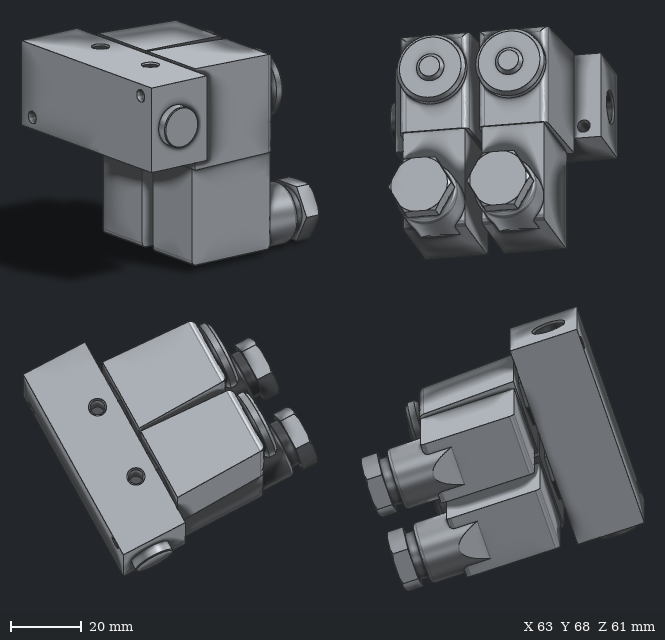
import cadquery as cq
import math


manifold_length = 60.0
manifold_depth = 20.0
manifold_height = 25.0
axis_z = -manifold_height / 2

mount_hole_dia = 3.6
mount_hole_inset_x = 5.0
mount_hole_inset_z = 3.5

port_y = 8.5
side_port_dia = 8.6
side_port_depth = 10.0
side_port_chamfer = 0.6
top_port_dia = 4.15
top_port_depth = 8.0
top_port_y = 14.0
top_port_chamfer = 0.5

plug_dia = 12.0
plug_length = 3.0
plug_chamfer = 0.3

coil_pitch = 23.0
coil_xs = [manifold_length / 2 - coil_pitch / 2, manifold_length / 2 + coil_pitch / 2]

hex_half_angle = 30
stem_flats = 13.0
coil_front_y = 21.5
coil_back_y = 50.5
coil_height = 30.0
coil_front_width = 22.0
coil_back_width = 20.0
coil_top_drop = 1.0
coil_edge_radius = 2.0

nut_dia = 20.0
nut_thickness = 4.0
nut_chamfer = 1.0
button_tip_dia = 6.0
button_height = 1.0

connector_width = 18.0
connector_front_y = 21.95
connector_back_y = 50.0
connector_bottom_z = -58.9
connector_edge_radius = 1.35

gland_dia = connector_width
gland_bottom_z = -61.0
gland_z = gland_bottom_z + gland_dia / 2
gland_start_y = 40.45
gland_end_y = 60.2
gland_edge_radius = 1.0
relief_start_y = 49.15
relief_angle = 16

neck_dia = 14.0
cap_flats = 16.0
cap_front_y = 63.0
cap_back_y = 68.0
cap_end_dia = 16.45
cap_chamfer_angle = 30


def cylinder_y(x, z, diameter, y_start, y_end):
    """Cylinder along Y between two Y positions."""
    plane = cq.Plane(origin=(x, y_start, z), xDir=(1, 0, 0), normal=(0, 1, 0))
    return cq.Workplane(plane).circle(diameter / 2).extrude(y_end - y_start)


def hexagon_y(x, z, flats, y_start, y_end, turn=0):
    """Hexagonal prism along Y; its corners point along X unless turned."""
    across_corners = flats / math.cos(math.radians(hex_half_angle))
    plane = cq.Plane(origin=(x, y_start, z), xDir=(1, 0, 0), normal=(0, 1, 0))
    return (
        cq.Workplane(plane)
        .transformed(rotate=(0, 0, turn))
        .polygon(6, across_corners)
        .extrude(y_end - y_start)
    )


def cone_y(x, z, start_dia, end_dia, y_start, length):
    """Truncated cone along Y."""
    return cq.Workplane("XY").add(
        cq.Solid.makeCone(
            start_dia / 2,
            end_dia / 2,
            length,
            pnt=cq.Vector(x, y_start, z),
            dir=cq.Vector(0, 1, 0),
        )
    )


def drill(body, face, diameter, depth, chamfer):
    """Flat-bottomed blind hole with a chamfered mouth; the face workplane points outwards."""
    hole = face.circle(diameter / 2).extrude(-depth)
    mouth = (
        face.circle(diameter / 2 + chamfer)
        .workplane(offset=-chamfer)
        .circle(diameter / 2)
        .loft(ruled=True)
    )
    return body.cut(hole).cut(mouth)


def make_manifold():
    block = cq.Workplane("XY").box(
        manifold_length, manifold_depth, manifold_height, centered=False
    ).translate((0, 0, -manifold_height))

    left_face = cq.Workplane("ZY", origin=(0, port_y, axis_z))
    block = drill(block, left_face, side_port_dia, side_port_depth, side_port_chamfer)
    for x in coil_xs:
        top_face = cq.Workplane("XY", origin=(x, top_port_y, 0))
        block = drill(block, top_face, top_port_dia, top_port_depth, top_port_chamfer)

    mount_points = [
        (mount_hole_inset_x, mount_hole_inset_z - manifold_height),
        (manifold_length - mount_hole_inset_x, -mount_hole_inset_z),
    ]
    for x, z in mount_points:
        block = block.cut(cylinder_y(x, z, mount_hole_dia, 0, manifold_depth))

    plug = (
        cq.Workplane("YZ", origin=(manifold_length, port_y, axis_z))
        .circle(plug_dia / 2)
        .extrude(plug_length)
        .faces(">X").chamfer(plug_chamfer)
    )
    return block.union(plug)


def make_coil(x):
    """Coil housing narrowing to the back, on a hexagonal stem, with a nut on its back."""
    def section(width, top_z, y):
        plane = cq.Plane(
            origin=(x, y, (top_z - coil_height) / 2), xDir=(1, 0, 0), normal=(0, 1, 0)
        )
        return cq.Workplane(plane).rect(width, top_z + coil_height).wires().val()

    front = section(coil_front_width, 0, coil_front_y)
    back = section(coil_back_width, -coil_top_drop, coil_back_y)
    housing = cq.Workplane("XY").add(cq.Solid.makeLoft([front, back], True))
    housing = housing.faces(">Y").edges("not <Z").fillet(coil_edge_radius)

    stem = hexagon_y(x, axis_z, stem_flats, manifold_depth, coil_front_y, turn=hex_half_angle)

    nut_end_y = coil_back_y + nut_thickness
    nut = cylinder_y(x, axis_z, nut_dia, coil_back_y, nut_end_y)
    nut = nut.faces("<Y or >Y").chamfer(nut_chamfer)
    button_base_dia = button_tip_dia + 2 * button_height
    button = cone_y(x, axis_z, button_base_dia, button_tip_dia, nut_end_y, button_height)

    return housing.union(stem).union(nut).union(button)


def make_connector(x):
    """Box below the coil, with a cable gland and hexagonal cap on its back."""
    box = (
        cq.Workplane("XY")
        .box(
            connector_width,
            connector_back_y - connector_front_y,
            -coil_height - connector_bottom_z,
            centered=(True, False, False),
        )
        .translate((x, connector_front_y, connector_bottom_z))
        .faces("<Z").edges("|X").fillet(connector_edge_radius)
    )

    gland = cylinder_y(x, gland_z, gland_dia, gland_start_y, gland_end_y)
    gland = gland.faces(">Y").edges().fillet(gland_edge_radius)
    relief_rise = (relief_start_y - gland_start_y) * math.tan(math.radians(relief_angle))
    relief = (
        cq.Workplane("YZ", origin=(x, 0, 0))
        .moveTo(relief_start_y, gland_bottom_z)
        .lineTo(gland_start_y, gland_bottom_z)
        .lineTo(gland_start_y, gland_bottom_z + relief_rise)
        .close()
        .extrude(gland_dia / 2, both=True)
    )
    gland = gland.cut(relief)

    neck = cylinder_y(x, gland_z, neck_dia, gland_end_y, cap_front_y)
    return box.union(gland).union(neck).union(make_cap(x))


def make_cap(x):
    """Hexagonal cap whose corners are turned off by a cone at the outer end."""
    cap = hexagon_y(x, gland_z, cap_flats, cap_front_y, cap_back_y)
    cone_length = cap_back_y - cap_front_y
    cone_growth = 2 * cone_length / math.tan(math.radians(cap_chamfer_angle))
    cone = cone_y(x, gland_z, cap_end_dia + cone_growth, cap_end_dia, cap_front_y, cone_length)
    return cap.intersect(cone)


result = make_manifold()
for coil_x in coil_xs:
    result = result.union(make_coil(coil_x)).union(make_connector(coil_x))